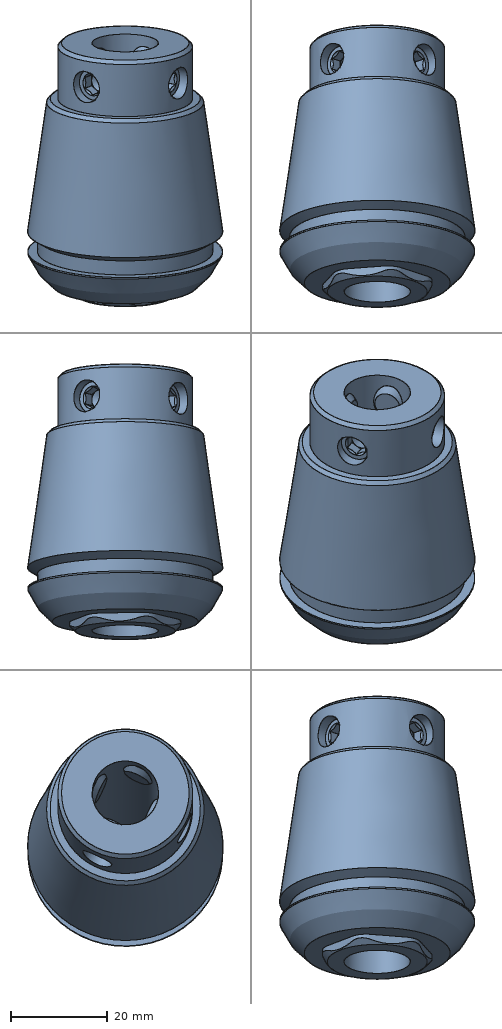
import cadquery as cq
import math

TOTAL_HEIGHT = 54.0
HEX_HEIGHT = 1.95
FLANGE_BREAK_Z = 4.85
FLANGE_RIM_Z = 8.7
FLANGE_TOP_Z = 9.0
NECK_TOP_Z = 12.05
BODY_BASE_Z = 13.35
BODY_TOP_Z = 42.0

FLANGE_DIAMETER = 40.55
FLANGE_BREAK_DIAMETER = 36.2
NECK_DIAMETER = 36.5
BODY_BASE_DIAMETER = 40.65
BODY_TOP_DIAMETER = 32.7
COLLAR_DIAMETER = 28.0
BORE_DIAMETER = 13.75
EDGE_CHAMFER = 0.75

HEX_ACROSS_FLATS = 21.15
HEX_CORNER_RADIUS = 4.05
HEX_END_DIAMETER = 20.8

SCREW_COUNT = 4
SCREW_DIAMETER = 8.1
SCREW_HOLE_DIAMETER = 6.65
SCREW_DEPTH_BELOW_TOP = 6.35
SCREW_Z = TOTAL_HEIGHT - SCREW_DEPTH_BELOW_TOP
SCREW_HEAD_RADIUS = 11.55
SCREW_TIP_RADIUS = 5.55
SCREW_TIP_DIAMETER = 5.6
SOCKET_ACROSS_FLATS = 4.0
SOCKET_MOUTH_DIAMETER = 4.8
SOCKET_DEPTH = 2.5
SOCKET_CONE_ANGLE = 120.0


def hexagon_corner_diameter(across_flats):
    return across_flats / math.cos(math.radians(30))


def turned_body():
    """Flange, neck, tapered body and collar, revolved about Z."""
    flange_base_radius = FLANGE_BREAK_DIAMETER / 2 - (FLANGE_BREAK_Z - HEX_HEIGHT)
    collar_radius = COLLAR_DIAMETER / 2
    outline = [
        (0, HEX_HEIGHT),
        (flange_base_radius, HEX_HEIGHT),
        (FLANGE_BREAK_DIAMETER / 2, FLANGE_BREAK_Z),
        (FLANGE_DIAMETER / 2, FLANGE_RIM_Z),
        (FLANGE_DIAMETER / 2, FLANGE_TOP_Z),
        (NECK_DIAMETER / 2, FLANGE_TOP_Z),
        (NECK_DIAMETER / 2, NECK_TOP_Z),
        (BODY_BASE_DIAMETER / 2, BODY_BASE_Z),
        (BODY_TOP_DIAMETER / 2, BODY_TOP_Z - EDGE_CHAMFER),
        (BODY_TOP_DIAMETER / 2 - EDGE_CHAMFER, BODY_TOP_Z),
        (collar_radius, BODY_TOP_Z),
        (collar_radius, TOTAL_HEIGHT - EDGE_CHAMFER),
        (collar_radius - EDGE_CHAMFER, TOTAL_HEIGHT),
        (0, TOTAL_HEIGHT),
    ]
    return cq.Workplane("XZ").polyline(outline).close().revolve(360, (0, 0), (0, 1))


def hex_end():
    """Rounded hexagon with flats facing +/-Y and a 45 degree cone on its end."""
    prism = (
        cq.Workplane("XY")
        .polygon(6, hexagon_corner_diameter(HEX_ACROSS_FLATS))
        .extrude(HEX_HEIGHT)
        .edges("|Z")
        .fillet(HEX_CORNER_RADIUS)
    )
    end_radius = HEX_END_DIAMETER / 2
    cone = cq.Workplane("XY").add(
        cq.Solid.makeCone(end_radius, end_radius + HEX_HEIGHT, HEX_HEIGHT)
    )
    return prism.intersect(cone)


def screw_body():
    """Set screw along Z with a 45 degree bevel around its flat tip."""
    tip_bevel = (SCREW_DIAMETER - SCREW_TIP_DIAMETER) / 2
    return (
        cq.Workplane("XY", origin=(0, 0, SCREW_TIP_RADIUS))
        .circle(SCREW_DIAMETER / 2)
        .extrude(SCREW_HEAD_RADIUS - SCREW_TIP_RADIUS)
        .faces("<Z")
        .chamfer(tip_bevel)
    )


def upward_cone(top_radius, height, top_z):
    """Cone along Z with its point down and its wide end at top_z."""
    return cq.Workplane("XY").add(
        cq.Solid.makeCone(0, top_radius, height, cq.Vector(0, 0, top_z - height))
    )


def screw_recess():
    """Open hole above the screw head and the hexagon socket below it, along Z."""
    hole = (
        cq.Workplane("XY", origin=(0, 0, SCREW_HEAD_RADIUS))
        .circle(SCREW_HOLE_DIAMETER / 2)
        .extrude(COLLAR_DIAMETER / 2 - SCREW_HEAD_RADIUS)
    )
    socket_floor = SCREW_HEAD_RADIUS - SOCKET_DEPTH
    socket = (
        cq.Workplane("XY", origin=(0, 0, socket_floor))
        .polygon(6, hexagon_corner_diameter(SOCKET_ACROSS_FLATS))
        .extrude(SOCKET_DEPTH)
    )
    drill_radius = SOCKET_ACROSS_FLATS / 2
    drill_depth = drill_radius / math.tan(math.radians(SOCKET_CONE_ANGLE / 2))
    drill_point = upward_cone(drill_radius, drill_depth, socket_floor)
    mouth_radius = SOCKET_MOUTH_DIAMETER / 2
    mouth_bevel = upward_cone(mouth_radius, mouth_radius, SCREW_HEAD_RADIUS)
    return hole.union(socket).union(drill_point).union(mouth_bevel)


def place_on_collar(shape, angle):
    """Turn a shape built along Z to point outward at the screw level."""
    return (
        shape.rotate((0, 0, 0), (0, 1, 0), 90)
        .translate((0, 0, SCREW_Z))
        .rotate((0, 0, 0), (0, 0, 1), angle)
    )


bore = cq.Workplane("XY").circle(BORE_DIAMETER / 2).extrude(TOTAL_HEIGHT)
result = turned_body().union(hex_end()).cut(bore)

screw = screw_body()
recess = screw_recess()
for index in range(SCREW_COUNT):
    screw_angle = index * 360 / SCREW_COUNT
    result = result.union(place_on_collar(screw, screw_angle))
    result = result.cut(place_on_collar(recess, screw_angle))